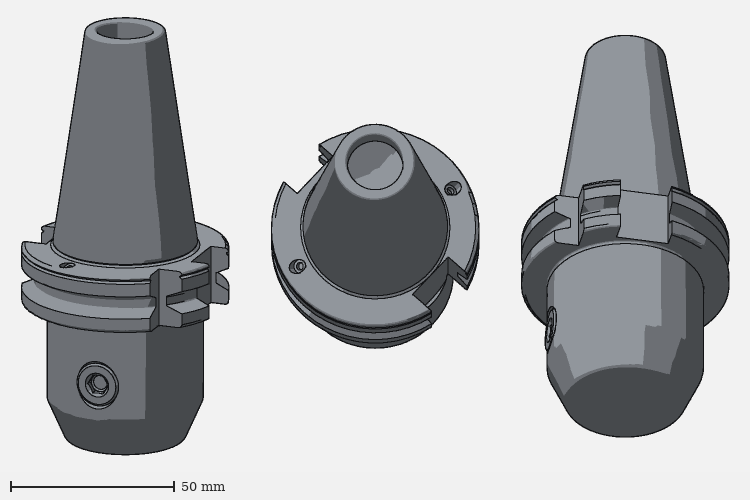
import cadquery as cq
import math

total_height = 131.4
cone_top_z = 13.0
flange_bottom_z = 43.9
groove_center_z = 52.0
flange_top_z = 62.0
gauge_relief_z = 63.0
gauge_z = 63.9

body_radius = 48.0 / 2
nose_end_radius = 18.3
nose_blend = 2.0
body_fillet = 0.9

flange_radius = 31.8
flange_fillet = 1.0
grip_root_radius = 27.9
grip_root_half_width = 1.6
grip_flank_angle = 27.0
grip_root_fillet = 0.5
score_depth = 0.7

gauge_radius = 44.3 / 2
relief_radius = 21.7
relief_fillet_radius = 22.9
taper_ratio = 7 / 24
taper_tip_fillet = 1.0

stud_radius = 8.5
stud_fillet = 0.9
stud_depth = 5.9
thread_radius = 7.0
thread_lead_in = 1.0
drill_half_angle = 59.0

slot_width = 16.2
left_slot_x = -22.9
right_slot_x = 25.0
notch_x = 18.3
notch_y = -18.5

port_pitch_radius = 27.0
port_angle = 70.0
port_tilt = 35.0
port_radius = 2.1
port_depth = 1.6
port_socket_radius = 1.2
port_socket_depth = 2.9

screw_z = 24.0
screw_face = 23.8
screw_edge = 0.7
screw_radius = 6.8
screw_mouth_radius = 7.6
seat_depth = 1.8
hex_corner_radius = 3.3
hex_mouth_radius = 3.8
hex_depth = 2.5
drill_floor_radius = 2.2
drill_floor_depth = 2.9


def cos_deg(angle):
    return math.cos(math.radians(angle))


def sin_deg(angle):
    return math.sin(math.radians(angle))


def tan_deg(angle):
    return math.tan(math.radians(angle))


def fillet_ring(solid, z, radius):
    """Round the one circular edge that lies at height z."""
    return solid.edges(cq.NearestToPointSelector((0, 0, z))).fillet(radius)


def make_turned_body():
    """Nose, flange and taper shank as one turned profile."""
    tip_radius = gauge_radius - (total_height - gauge_z) * taper_ratio / 2
    grip_rim_half_width = (grip_root_half_width
                           + (flange_radius - grip_root_radius) * tan_deg(grip_flank_angle))
    score_z = flange_top_z - flange_fillet - score_depth
    arc_inset = 1 - cos_deg(45)
    body_inset = body_fillet * arc_inset
    flange_inset = flange_fillet * arc_inset
    profile = (
        cq.Workplane("XZ")
        .lineTo(nose_end_radius, 0)
        .lineTo(body_radius, cone_top_z)
        .lineTo(body_radius, flange_bottom_z - body_fillet)
        .threePointArc((body_radius + body_inset, flange_bottom_z - body_inset),
                       (body_radius + body_fillet, flange_bottom_z))
        .lineTo(flange_radius - flange_fillet, flange_bottom_z)
        .threePointArc((flange_radius - flange_inset, flange_bottom_z + flange_inset),
                       (flange_radius, flange_bottom_z + flange_fillet))
        .lineTo(flange_radius, groove_center_z - grip_rim_half_width)
        .lineTo(grip_root_radius, groove_center_z - grip_root_half_width)
        .lineTo(grip_root_radius, groove_center_z + grip_root_half_width)
        .lineTo(flange_radius, groove_center_z + grip_rim_half_width)
        .lineTo(flange_radius, score_z - score_depth)
        .lineTo(flange_radius - score_depth, score_z)
        .lineTo(flange_radius, score_z + score_depth)
        .threePointArc((flange_radius - flange_inset, flange_top_z - flange_inset),
                       (flange_radius - flange_fillet, flange_top_z))
        .lineTo(relief_fillet_radius, flange_top_z)
        .lineTo(relief_radius, gauge_relief_z - (gauge_radius - relief_radius))
        .lineTo(gauge_radius, gauge_relief_z)
        .lineTo(gauge_radius, gauge_z)
        .lineTo(tip_radius, total_height)
        .lineTo(0, total_height)
        .close()
    )
    body = profile.revolve(360, (0, 0, 0), (0, 1, 0))
    body = fillet_ring(body, 0, nose_blend)
    body = fillet_ring(body, cone_top_z, nose_blend)
    for root_z in (groove_center_z - grip_root_half_width, groove_center_z + grip_root_half_width):
        body = fillet_ring(body, root_z, grip_root_fillet)
    return fillet_ring(body, total_height, taper_tip_fillet)


def cut_stud_bore(body):
    """Counterbore with a lead-in to a drill-point bottom, then a rounded mouth."""
    floor_z = total_height - stud_depth
    cone_z = floor_z - thread_lead_in
    tip_z = cone_z - thread_radius / tan_deg(drill_half_angle)
    bore = (
        cq.Workplane("XZ")
        .moveTo(0, total_height)
        .lineTo(stud_radius, total_height)
        .lineTo(stud_radius, floor_z)
        .lineTo(thread_radius, cone_z)
        .lineTo(0, tip_z)
        .close()
        .revolve(360, (0, 0, 0), (0, 1, 0))
    )
    body = body.cut(bore)
    return body.faces(">Z").edges(cq.selectors.RadiusNthSelector(0)).fillet(stud_fillet)


def cut_drive_slots(body):
    """Two side slots; each ends in a half round below the flange."""
    for wall_x, side in ((left_slot_x, -1), (right_slot_x, 1)):
        reach = side * flange_radius
        height = flange_top_z - flange_bottom_z
        slot = (
            cq.Workplane("YZ", origin=(wall_x, 0, 0))
            .moveTo(-slot_width / 2, flange_bottom_z)
            .threePointArc((0, flange_bottom_z - slot_width / 2), (slot_width / 2, flange_bottom_z))
            .line(0, height)
            .line(-slot_width, 0)
            .close()
            .extrude(reach)
        )
        body = body.cut(slot)
    return body


def cut_orientation_notch(body):
    """Square corner cut through the flange."""
    notch = (
        cq.Workplane("XY", origin=(notch_x, notch_y - flange_radius, flange_bottom_z))
        .box(flange_radius, flange_radius, flange_top_z - flange_bottom_z, centered=False)
    )
    return body.cut(notch)


def cut_coolant_ports(body):
    """Two opposite ports in the flange top that lean inward as they go down."""
    for angle in (port_angle, port_angle + 180):
        outward = cq.Vector(cos_deg(angle), sin_deg(angle), 0)
        mouth = outward * port_pitch_radius + cq.Vector(0, 0, flange_top_z)
        axis = outward * -sin_deg(port_tilt) + cq.Vector(0, 0, -cos_deg(port_tilt))
        start = mouth - axis * port_depth
        for radius, depth in ((port_radius, port_depth), (port_socket_radius, port_socket_depth)):
            bore = cq.Solid.makeCylinder(radius, port_depth + depth, start, axis)
            body = body.cut(cq.Workplane(bore))
    return body


def revolve_about_screw(points):
    """Turn (radius, distance from the spindle axis) points about the screw axis."""
    outline = [(radius, -distance) for radius, distance in points]
    return (
        cq.Workplane("XY", origin=(0, 0, screw_z))
        .polyline(outline)
        .close()
        .revolve(360, (0, 0, 0), (0, 1, 0))
    )


def fit_clamping_screw(body):
    """Countersunk screw seat, bevelled screw face and its socket."""
    mouth_depth = screw_mouth_radius - screw_radius
    outside = body_radius + mouth_depth
    seat_floor = screw_face - seat_depth
    seat = revolve_about_screw([
        (0, outside),
        (screw_mouth_radius + mouth_depth, outside),
        (screw_radius, body_radius - mouth_depth),
        (screw_radius, seat_floor),
        (0, seat_floor),
    ])
    screw = revolve_about_screw([
        (0, seat_floor),
        (screw_radius, seat_floor),
        (screw_radius, screw_face - screw_edge),
        (screw_radius - screw_edge, screw_face),
        (0, screw_face),
    ])
    hex_floor = screw_face - hex_depth
    hex_socket = (
        cq.Workplane("XZ", origin=(0, -hex_floor, screw_z))
        .polygon(6, 2 * hex_corner_radius)
        .extrude(hex_depth)
    )
    countersink_end = screw_face - (hex_mouth_radius - drill_floor_radius)
    countersink = revolve_about_screw([
        (0, screw_face),
        (hex_mouth_radius, screw_face),
        (drill_floor_radius, countersink_end),
        (0, countersink_end),
    ])
    drill_floor = screw_face - drill_floor_depth
    drill_bottom = revolve_about_screw([
        (0, hex_floor),
        (hex_corner_radius * cos_deg(30), hex_floor),
        (drill_floor_radius, drill_floor),
        (0, drill_floor),
    ])
    body = body.cut(seat).union(screw)
    return body.cut(hex_socket).cut(countersink).cut(drill_bottom)


result = make_turned_body()
result = cut_stud_bore(result)
result = cut_drive_slots(result)
result = cut_orientation_notch(result)
result = cut_coolant_ports(result)
result = fit_clamping_screw(result)